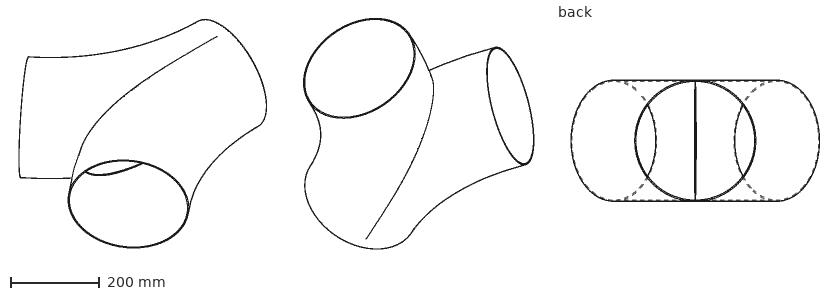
import cadquery as cq
import math

outer_diameter = 273.0
wall = 3.0
bend_angle = 45
half_width = 279.5

seam_land = 0.3
groove_depth = 11.0
groove_end_angle = 85
groove_steps = 24

outer_radius = outer_diameter / 2
inner_radius = outer_radius - wall
cos_bend = math.cos(math.radians(bend_angle))
bend_radius = (half_width - outer_radius * cos_bend) / (1 - cos_bend)
groove_root_radius = outer_radius - seam_land
trim_size = 4 * half_width


def half_elbow(side):
    """Pipe bend that runs from the inlet at Y = 0 to one side, cut off at the middle plane."""
    elbow = (
        cq.Workplane("XZ")
        .circle(outer_radius)
        .circle(inner_radius)
        .revolve(bend_angle, (side * bend_radius, 0, 0), (side * bend_radius, side, 0))
    )
    side_block = cq.Workplane("XY").box(trim_size, trim_size, trim_size)
    side_block = side_block.translate((side * trim_size / 2, 0, 0))
    return elbow.intersect(side_block)


def groove_point(parameter, side, depth):
    """Point reached by going from the groove root towards the pipe centre line by depth."""
    tube_angle = math.pi / 2 * math.sin(parameter)
    root_offset = groove_root_radius * math.cos(tube_angle)
    turn = math.acos(bend_radius / (bend_radius + root_offset))
    shrink = 1 - depth / groove_root_radius
    distance = bend_radius + shrink * root_offset
    return cq.Vector(
        side * (bend_radius - distance * math.cos(turn)),
        -distance * math.sin(turn),
        shrink * groove_root_radius * math.sin(tube_angle),
    )


def seam_groove():
    """V-shaped cutter whose flanks stand square to the wall of each branch."""
    end = math.radians(groove_end_angle)
    step = 2 * end / groove_steps
    sections = []
    for i in range(groove_steps + 1):
        parameter = -end + i * step
        corners = [
            groove_point(parameter, 1, 0),
            groove_point(parameter, 1, groove_depth),
            groove_point(parameter, -1, groove_depth),
        ]
        sections.append(cq.Wire.makePolygon(corners, close=True))
    return cq.Workplane(obj=cq.Solid.makeLoft(sections))


result = half_elbow(1).union(half_elbow(-1)).cut(seam_groove())